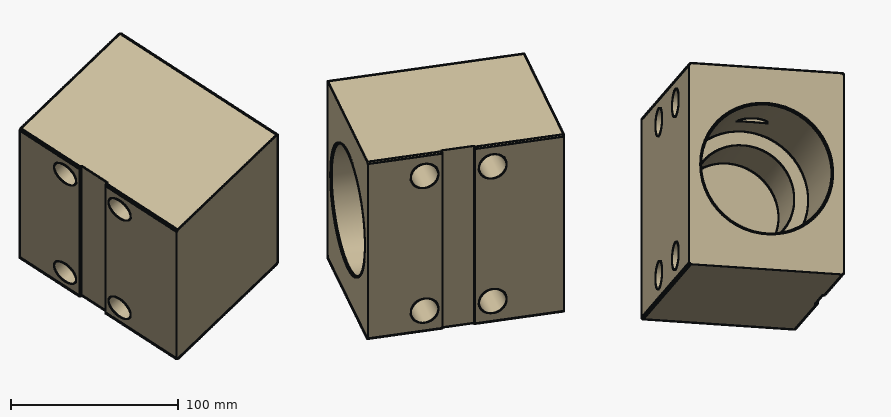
import cadquery as cq

LENGTH = 121.0
DEPTH = 95.0
HEIGHT = 125.0
EDGE_CHAMFER = 1.0

SLOT_CENTER_X = 56.0
SLOT_WIDTH = 20.0
SLOT_DEPTH = 2.0

HOLE_DIAMETER = 17.0
HOLE_SPACING_X = 42.0
HOLE_SPACING_Z = 95.0

BORE_DIAMETER = 80.0
BORE_DEPTH = 60.0
BORE_CHAMFER = 0.8
INNER_BORE_DIAMETER = 63.0
INNER_BORE_DEPTH = 100.0


def chamfered_block():
    """Block with its four long edges (parallel to X) chamfered."""
    block = cq.Workplane("XY").box(LENGTH, DEPTH, HEIGHT, centered=(False, True, True))
    return block.edges("|X").chamfer(EDGE_CHAMFER)


def key_slot():
    """Shallow full-height slot cut into the -Y face."""
    slot = cq.Workplane("XY").box(SLOT_WIDTH, SLOT_DEPTH, HEIGHT, centered=(True, False, True))
    return slot.translate((SLOT_CENTER_X, -DEPTH / 2, 0))


def mounting_holes():
    """Four cylinders passing through the block along Y."""
    return (
        cq.Workplane("XZ", origin=(SLOT_CENTER_X, 0, 0))
        .rarray(HOLE_SPACING_X, HOLE_SPACING_Z, 2, 2)
        .circle(HOLE_DIAMETER / 2)
        .extrude(DEPTH / 2, both=True)
    )


def stepped_bore():
    """Bore with a chamfered mouth and a smaller blind bore behind it."""
    bore_radius = BORE_DIAMETER / 2
    inner_radius = INNER_BORE_DIAMETER / 2
    half_profile = (
        cq.Workplane("XY")
        .moveTo(0, 0)
        .lineTo(0, bore_radius + BORE_CHAMFER)
        .lineTo(BORE_CHAMFER, bore_radius)
        .lineTo(BORE_DEPTH, bore_radius)
        .lineTo(BORE_DEPTH, inner_radius)
        .lineTo(INNER_BORE_DEPTH, inner_radius)
        .lineTo(INNER_BORE_DEPTH, 0)
        .close()
    )
    return half_profile.revolve(360, (0, 0, 0), (1, 0, 0))


result = chamfered_block().cut(key_slot()).cut(mounting_holes()).cut(stepped_bore())